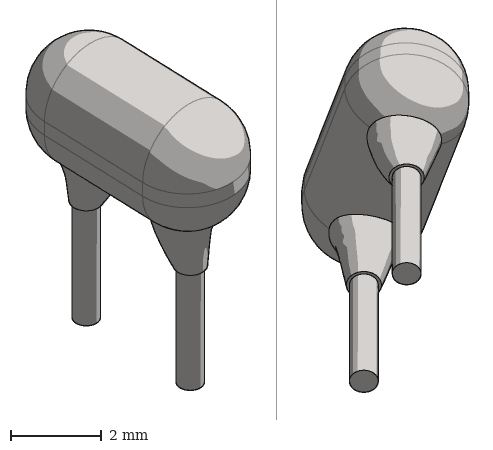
import cadquery as cq
import math

total_height = 7.78
body_length = 5.86
body_width = 2.8
band_height = 0.39
body_radius = body_width / 2
body_height = body_width + band_height
body_bottom = total_height - body_height
end_offset = body_length / 2 - body_radius

lead_diameter = 0.64
lead_spacing = 3.24
lead_x = lead_spacing / 2

neck_bottom = 3.315
neck_end_radius = 0.39
neck_outer_x = lead_x + neck_end_radius
neck_inner_end_x = lead_x - neck_end_radius
neck_inner_reach = 0.59
neck_top_half_width = 0.88
flare_start = 0.75
flare_radius = 1.44
neck_height = 1.71
neck_side_slope = (neck_top_half_width - neck_end_radius) / neck_height
section_count = 12
inner_curve_power = 1.9


def make_capsule():
    """Two round-ended capsules, one above the other, joined by a straight band."""
    lower_center_z = body_bottom + body_radius
    core = (
        cq.Workplane("XY", origin=(0, 0, lower_center_z))
        .slot2D(body_length, body_width)
        .extrude(band_height)
    )
    for center_z in (lower_center_z, lower_center_z + band_height):
        barrel = (
            cq.Workplane("YZ", origin=(-end_offset, 0, center_z))
            .circle(body_radius)
            .extrude(2 * end_offset)
        )
        core = core.union(barrel)
        for side in (-1, 1):
            ball = cq.Workplane("XY", origin=(side * end_offset, 0, center_z)).sphere(body_radius)
            core = core.union(ball)
    return core


def neck_section(rise, side):
    """Elliptical wire of a neck at a given rise above its lower end."""
    flare_rise = max(0.0, rise - flare_start)
    flare = flare_radius - math.sqrt(flare_radius**2 - flare_rise**2)
    outer_x = neck_outer_x + flare
    remaining = 1 - rise / neck_height
    inner_x = neck_inner_end_x - neck_inner_reach * (1 - remaining**inner_curve_power)
    half_x = (outer_x - inner_x) / 2
    half_y = max(half_x, neck_end_radius + neck_side_slope * rise)
    center = cq.Vector(side * (outer_x + inner_x) / 2, 0, neck_bottom + rise)
    z_direction = cq.Vector(0, 0, 1)
    y_direction = cq.Vector(0, 1, 0)
    return cq.Wire.makeEllipse(half_y, half_x, center, z_direction, y_direction)


def make_neck(side):
    rises = [neck_height * i / (section_count - 1) for i in range(section_count)]
    return cq.Workplane(cq.Solid.makeLoft([neck_section(rise, side) for rise in rises]))


def make_housing():
    housing = make_capsule()
    for side in (-1, 1):
        housing = housing.union(make_neck(side))
    return housing


def make_lead(side):
    """Straight round lead that ends against the lower face of its neck."""
    return cq.Workplane("XY").center(side * lead_x, 0).circle(lead_diameter / 2).extrude(neck_bottom)


housing = make_housing()
leads = [make_lead(side) for side in (-1, 1)]

result = cq.Compound.makeCompound([housing.val(), *[lead.val() for lead in leads]])